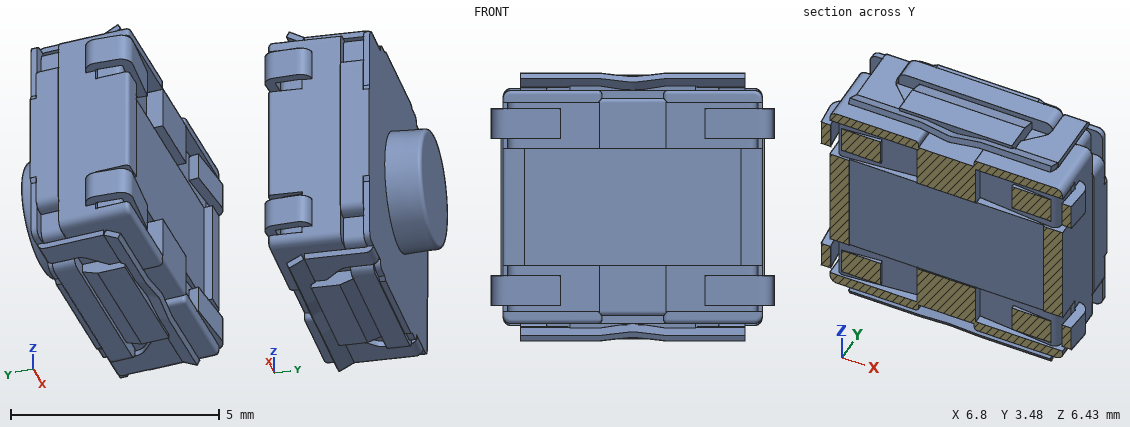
import math

import cadquery as cq


BASE_FACE = 0.075
SHOULDER = 1.87
HOUSING_TOP = 2.435
BODY_HALF_X = 3.12
BODY_HALF_Z = 2.8
UPPER_HALF_X = 2.81
CORNER_RADIUS = 0.2
BASE_EDGE_RADIUS = 0.1
FLANGE_REACH = 3.165
FLANGE_HALF_WIDTH = 2.07
FLANGE_CORNER_RADIUS = 0.22

PANEL_FACE = 0.3
PANEL_HALF_X = 2.6
CHANNEL_Z_MIN = 1.405
CHANNEL_Z_MAX = 2.505
BLOCK_HALF_X = 0.795
CHANNEL_EDGE_RADIUS = 0.19
CHANNEL_EDGE_X = 2.77
CHANNEL_EDGE_Y = 0.323
NOTCH_HALF_X = 0.74
NOTCH_FLOOR_Z = CHANNEL_Z_MAX + BASE_EDGE_RADIUS
NOTCH_BACK = 1.2

TERMINAL_HALF_X = 3.402
TERMINAL_THICKNESS = 0.25
TERMINAL_BEND_RADIUS = 0.3
TERMINAL_TOP = 1.17
TERMINAL_ROOT_X = 2.6
FOOT_END_X = 1.74
TERMINAL_WIDTH = 0.72
TERMINAL_Z = 2.005
TERMINAL_TILT = math.radians(5)

COVER_THICKNESS = 0.15
COVER_TOP = HOUSING_TOP + COVER_THICKNESS
COVER_HALF_X = 3.11
COVER_HALF_Z = 2.85
COVER_CORNER_RADIUS = 0.2
COVER_TAB_HALF_WIDTH = 1.97
COVER_TAB_CORNER_RADIUS = 0.19
COVER_TAB_Z = 3.044
BUMP_X = FLANGE_REACH
BUMP_Z = 3.12
X_BUMP_HALF_WIDTH = 1.31
Z_BUMP_HALF_WIDTH = 1.49
BUMP_SLOPE_WIDTH = 0.13
LATCH_OUTER_Z = 3.02
LATCH_HALF_WIDTH = 2.7
LATCH_BEND_RADIUS = 0.2
LIP_START = 0.88
LIP_LENGTH = 0.42
LIP_ANGLE = math.radians(28)
LIP_DIP = 0.1
DIP_HALF_WIDTH = 0.79
DIP_FLAT_HALF_WIDTH = 0.04
WINDOW_HALF_WIDTH = FLANGE_HALF_WIDTH
WINDOW_NECK_HALF_WIDTH = 1.55
WINDOW_NECK_Y = 1.16
WINDOW_ROUND_RADIUS = 0.35

LUG_HALF_WIDTH = 1.505
LUG_RAMP_END = 1.48
LUG_END = 0.777

BUTTON_TOP = 3.48
BUTTON_BASE_RADIUS = 1.49
BUTTON_TOP_RADIUS = 1.455
BUTTON_EDGE_RADIUS = 0.1


def box(x_range, y_range, z_range):
    """Box between the given limits."""
    lows, highs = zip(x_range, y_range, z_range)
    sizes = [high - low for low, high in zip(lows, highs)]
    return cq.Workplane("XY").box(*sizes, centered=False).translate(lows)


def slab(half_x, half_z, y_range):
    """Box centred on the Y axis."""
    return box((-half_x, half_x), y_range, (-half_z, half_z))


def on_both_x(shape):
    return shape.union(shape.mirror("YZ"))


def on_both_z(shape):
    return shape.union(shape.mirror("XY"))


def housing():
    body = slab(BODY_HALF_X, BODY_HALF_Z, (BASE_FACE, SHOULDER))
    body = body.edges("|Y").fillet(CORNER_RADIUS)
    body = notch_base(body).faces("<Y").edges().fillet(BASE_EDGE_RADIUS)

    upper_range = (SHOULDER, HOUSING_TOP)
    upper = slab(UPPER_HALF_X, BODY_HALF_Z, upper_range).edges("|Y").fillet(CORNER_RADIUS)
    x_flange = slab(FLANGE_REACH, FLANGE_HALF_WIDTH, upper_range)
    z_flange = slab(FLANGE_HALF_WIDTH, FLANGE_REACH, upper_range)
    for flange in (x_flange, z_flange):
        upper = upper.union(flange.edges("|Y").fillet(FLANGE_CORNER_RADIUS))

    panel = slab(PANEL_HALF_X, CHANNEL_Z_MIN, (0, PANEL_FACE))
    channels = on_both_z(on_both_x(terminal_channel()))
    return body.union(upper).cut(panel).cut(channels).union(on_both_z(lug()))


def notch_base(body):
    """Notches in the base rim under the dips of the two lips, with rounded mouths."""
    notch = box((-NOTCH_HALF_X, NOTCH_HALF_X), (0, NOTCH_BACK), (NOTCH_FLOOR_Z, LATCH_OUTER_Z))
    body = body.cut(on_both_z(notch))
    mouth = cq.selectors.BoxSelector(
        (-NOTCH_HALF_X - BASE_EDGE_RADIUS, 0, -LATCH_OUTER_Z),
        (NOTCH_HALF_X + BASE_EDGE_RADIUS, NOTCH_BACK, LATCH_OUTER_Z),
    )
    outer_corners = [
        edge
        for edge in body.edges("|Y").edges(mouth).vals()
        if abs(edge.Center().z) > NOTCH_FLOOR_Z + BASE_EDGE_RADIUS
    ]
    return body.newObject(outer_corners).fillet(BASE_EDGE_RADIUS)


def terminal_channel():
    """Cutter for the recess around one terminal on +X, +Z; floor and wall tilt with the terminal."""
    cos_tilt = math.cos(TERMINAL_TILT)
    sin_tilt = math.sin(TERMINAL_TILT)
    radius = CHANNEL_EDGE_RADIUS
    centre_x = CHANNEL_EDGE_X + radius * sin_tilt
    centre_y = CHANNEL_EDGE_Y + radius * cos_tilt
    middle = math.pi / 4 + TERMINAL_TILT
    wall_x = centre_x + radius * cos_tilt
    wall_y = centre_y - radius * sin_tilt
    back = TERMINAL_TOP - TERMINAL_THICKNESS
    floor_y = CHANNEL_EDGE_Y + (CHANNEL_EDGE_X - BLOCK_HALF_X) * math.tan(TERMINAL_TILT)
    profile = (
        cq.Workplane("XY", origin=(0, 0, CHANNEL_Z_MIN))
        .moveTo(BLOCK_HALF_X, 0)
        .lineTo(BLOCK_HALF_X, floor_y)
        .lineTo(CHANNEL_EDGE_X, CHANNEL_EDGE_Y)
        .threePointArc(
            (centre_x + radius * math.cos(middle), centre_y - radius * math.sin(middle)),
            (wall_x, wall_y),
        )
        .lineTo(wall_x + (back - wall_y) * math.tan(TERMINAL_TILT), back)
        .lineTo(FLANGE_REACH, back)
        .lineTo(FLANGE_REACH, 0)
        .close()
    )
    return profile.extrude(CHANNEL_Z_MAX - CHANNEL_Z_MIN)


def terminal():
    """Terminal on +X, +Z: an arm, a leg tilted outwards and a foot at right angles to the leg."""
    cos_tilt = math.cos(TERMINAL_TILT)
    sin_tilt = math.sin(TERMINAL_TILT)
    outside = TERMINAL_BEND_RADIUS
    inside = outside - TERMINAL_THICKNESS
    top_x = TERMINAL_HALF_X - outside
    top_y = TERMINAL_TOP - outside
    bottom_y = outside
    bottom_x = top_x - (top_y - bottom_y) * math.tan(TERMINAL_TILT)

    def top_bend(radius, angle):
        return (top_x + radius * math.cos(angle), top_y + radius * math.sin(angle))

    def bottom_bend(radius, angle):
        return (bottom_x + radius * math.cos(angle), bottom_y + radius * math.sin(angle))

    upright = math.pi / 2
    leg = -TERMINAL_TILT
    foot = -upright - TERMINAL_TILT
    top_middle = (upright + leg) / 2
    bottom_middle = (leg + foot) / 2
    foot_x, foot_y = bottom_bend(outside, foot)
    end_y = foot_y + (foot_x - FOOT_END_X) * math.tan(TERMINAL_TILT)
    profile = (
        cq.Workplane("XY", origin=(0, 0, TERMINAL_Z - TERMINAL_WIDTH / 2))
        .moveTo(TERMINAL_ROOT_X, TERMINAL_TOP)
        .lineTo(top_x, TERMINAL_TOP)
        .threePointArc(top_bend(outside, top_middle), top_bend(outside, leg))
        .lineTo(*bottom_bend(outside, leg))
        .threePointArc(bottom_bend(outside, bottom_middle), (foot_x, foot_y))
        .lineTo(FOOT_END_X, end_y)
        .lineTo(FOOT_END_X + TERMINAL_THICKNESS * sin_tilt, end_y + TERMINAL_THICKNESS * cos_tilt)
        .lineTo(*bottom_bend(inside, foot))
        .threePointArc(bottom_bend(inside, bottom_middle), bottom_bend(inside, leg))
        .lineTo(*top_bend(inside, leg))
        .threePointArc(top_bend(inside, top_middle), top_bend(inside, upright))
        .lineTo(TERMINAL_ROOT_X, TERMINAL_TOP - TERMINAL_THICKNESS)
        .close()
    )
    return profile.extrude(TERMINAL_WIDTH)


def lug():
    """Ramped lug on +Z that stands in the latch window."""
    profile = cq.Workplane("YZ").polyline(
        [
            (SHOULDER, BODY_HALF_Z),
            (SHOULDER, LATCH_OUTER_Z),
            (LUG_RAMP_END, FLANGE_REACH),
            (LUG_END, FLANGE_REACH),
            (LUG_END, BODY_HALF_Z),
        ]
    )
    return profile.close().extrude(LUG_HALF_WIDTH, both=True)


def bump(half_width, base_z, top_z):
    """Raised stretch on the +Z edge of the cover plate, with sloped ends."""
    profile = cq.Workplane("XZ", origin=(0, COVER_TOP, 0)).polyline(
        [
            (-half_width, 0),
            (half_width, 0),
            (half_width, base_z),
            (half_width - BUMP_SLOPE_WIDTH, top_z),
            (BUMP_SLOPE_WIDTH - half_width, top_z),
            (-half_width, base_z),
        ]
    )
    return profile.close().extrude(COVER_THICKNESS)


def cover():
    y_range = (HOUSING_TOP, COVER_TOP)
    plate = slab(COVER_HALF_X, COVER_HALF_Z, y_range).edges("|Y").fillet(COVER_CORNER_RADIUS)
    tabs = slab(COVER_TAB_HALF_WIDTH, COVER_TAB_Z, y_range)
    tabs = tabs.edges("|Y").fillet(COVER_TAB_CORNER_RADIUS)
    z_bumps = on_both_z(bump(Z_BUMP_HALF_WIDTH, COVER_TAB_Z, BUMP_Z))
    x_bump = bump(X_BUMP_HALF_WIDTH, COVER_HALF_X, BUMP_X).rotate((0, 0, 0), (0, 1, 0), 90)
    cover_plate = plate.union(tabs).union(z_bumps).union(on_both_x(x_bump))
    return cover_plate.union(on_both_z(latch().union(lip())))


def latch():
    """Side plate on +Z, bent from the cover, with a window for the flange and the lug."""
    inner_z = LATCH_OUTER_Z - COVER_THICKNESS
    side = box(
        (-LATCH_HALF_WIDTH, LATCH_HALF_WIDTH),
        (LIP_START, COVER_TOP),
        (inner_z - LATCH_BEND_RADIUS, LATCH_OUTER_Z),
    )
    side = side.edges(">Y and >Z").fillet(LATCH_BEND_RADIUS)
    inside = box(
        (-LATCH_HALF_WIDTH, LATCH_HALF_WIDTH),
        (0, HOUSING_TOP),
        (0, inner_z),
    )
    inside = inside.edges(">Y and >Z").fillet(LATCH_BEND_RADIUS - COVER_THICKNESS)
    return side.cut(inside).cut(window())


def window():
    shoulder_y = WINDOW_NECK_Y + WINDOW_HALF_WIDTH - WINDOW_NECK_HALF_WIDTH
    outline = cq.Workplane("XY").polyline(
        [
            (-WINDOW_NECK_HALF_WIDTH, 0),
            (WINDOW_NECK_HALF_WIDTH, 0),
            (WINDOW_NECK_HALF_WIDTH, WINDOW_NECK_Y),
            (WINDOW_HALF_WIDTH, shoulder_y),
            (WINDOW_HALF_WIDTH, COVER_TOP),
            (-WINDOW_HALF_WIDTH, COVER_TOP),
            (-WINDOW_HALF_WIDTH, shoulder_y),
            (-WINDOW_NECK_HALF_WIDTH, WINDOW_NECK_Y),
        ]
    )
    opening = outline.close().extrude(FLANGE_REACH)
    shoulders = cq.selectors.BoxSelector(
        (-FLANGE_REACH, shoulder_y - WINDOW_ROUND_RADIUS, 0),
        (FLANGE_REACH, shoulder_y + WINDOW_ROUND_RADIUS, FLANGE_REACH),
    )
    return opening.edges("|Z").edges(shoulders).fillet(WINDOW_ROUND_RADIUS)


def lip():
    """Lip flaring out below the +Z latch, with a shallow V dip at its middle."""
    outer = [
        (-LATCH_HALF_WIDTH, 0),
        (-DIP_HALF_WIDTH, 0),
        (-DIP_FLAT_HALF_WIDTH, -LIP_DIP),
        (DIP_FLAT_HALF_WIDTH, -LIP_DIP),
        (DIP_HALF_WIDTH, 0),
        (LATCH_HALF_WIDTH, 0),
    ]
    inner = [(x, depth - COVER_THICKNESS) for x, depth in reversed(outer)]
    along_lip = (0, -math.cos(LIP_ANGLE), math.sin(LIP_ANGLE))
    section = cq.Plane(origin=(0, LIP_START, LATCH_OUTER_Z), xDir=(1, 0, 0), normal=along_lip)
    return cq.Workplane(section).polyline(outer + inner).close().extrude(LIP_LENGTH)


def button():
    profile = cq.Workplane("XY").polyline(
        [
            (0, HOUSING_TOP),
            (BUTTON_BASE_RADIUS, HOUSING_TOP),
            (BUTTON_BASE_RADIUS, COVER_TOP),
            (BUTTON_TOP_RADIUS, BUTTON_TOP),
            (0, BUTTON_TOP),
        ]
    )
    solid = profile.close().revolve(360, (0, 0, 0), (0, 1, 0))
    return solid.faces(">Y").edges().fillet(BUTTON_EDGE_RADIUS)


terminals = on_both_z(on_both_x(terminal()))
result = housing().union(cover()).union(button()).union(terminals)